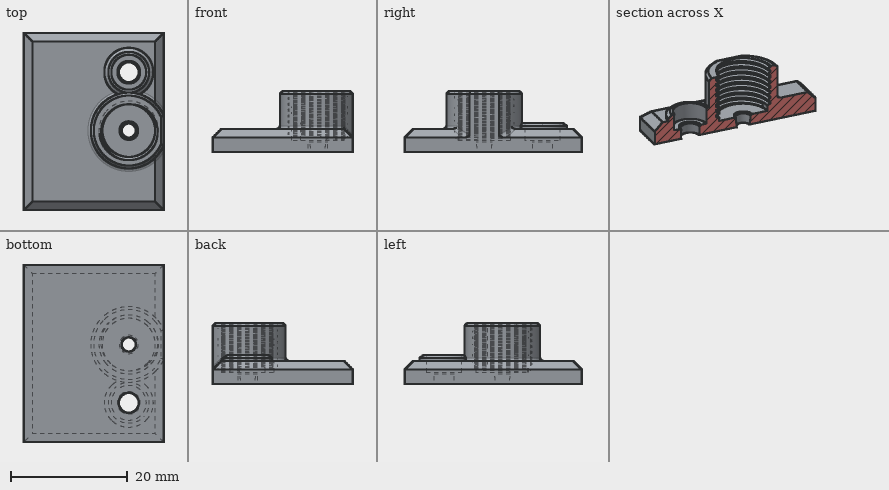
import cadquery as cq
import math

plate_x = 24.0
plate_y = 30.4
plate_z = 4.0
plate_chamfer = 1.5
chamfer_line_x = plate_x - plate_chamfer

boss_inset_x = 6.0
small_boss_inset_y = 6.75
boss_x = plate_x - boss_inset_x
small_boss_y = plate_y - small_boss_inset_y
boss_spacing = 10.0
main_boss_y = small_boss_y - boss_spacing

main_boss_d = 13.0
main_boss_top = 10.5
main_boss_chamfer = 0.5
main_boss_fillet = 0.5
main_hole_d = 2.4
main_hole_mouth_d = 2.7

thread_minor_d = 9.04
thread_major_d = 10.15
thread_pitch = 1.0
thread_flank_angle = 30.0
groove_mouth = thread_pitch * 7 / 8
groove_overlap = 0.1
thread_overrun = 1.0
thread_top_angle = -70.0

small_boss_d = 8.4
small_boss_height = 1.0
small_boss_chamfer_z = 0.55
small_boss_chamfer_r = 0.7
small_bore_d = 6.0
small_hole_d = 3.4

bore_floor = 2.0
hole_chamfer = 0.25
small_boss_top = plate_z + small_boss_height


def cylinder(diameter, y, bottom, top):
    """Upright cylinder on the boss line at the given Y."""
    base = cq.Workplane("XY", origin=(boss_x, y, bottom))
    return base.circle(diameter / 2).extrude(top - bottom)


def make_plate():
    """Rectangular plate with chamfered upper edges."""
    plate = cq.Workplane("XY").box(plate_x, plate_y, plate_z, centered=False)
    return plate.faces(">Z").edges().chamfer(plate_chamfer)


def make_foot(side, drop_per_x):
    """Concave ring at the foot of the main boss, kept on one side of the +X chamfer line.

    side is -1 over the flat plate top and 1 over its +X chamfer; drop_per_x is how far
    the plate surface falls per unit of X on that side.
    """
    inner_r = main_boss_d / 2
    outer_r = inner_r + main_boss_fillet
    arc_mid = main_boss_fillet * (1 - math.cos(math.pi / 4))
    ring = (
        cq.Workplane("XZ")
        .moveTo(inner_r - main_boss_fillet, -main_boss_fillet)
        .lineTo(outer_r, -main_boss_fillet)
        .lineTo(outer_r, 0)
        .threePointArc((inner_r + arc_mid, arc_mid), (inner_r, main_boss_fillet))
        .lineTo(inner_r - main_boss_fillet, main_boss_fillet)
        .close()
        .revolve(360, (0, 0, 0), (0, 1, 0))
    )
    ring = ring.translate((boss_x - chamfer_line_x, 0, 0))
    half_space = cq.Workplane("XY").box(plate_x, plate_y, plate_z)
    ring = ring.intersect(half_space.translate((side * plate_x / 2, 0, 0)))
    tilt = cq.Matrix([[1, 0, 0, 0], [0, 1, 0, 0], [-drop_per_x, 0, 1, 0]])
    tilted = ring.val().transformGeometry(tilt)
    return cq.Workplane(tilted).translate((chamfer_line_x, main_boss_y, plate_z))


def add_main_boss(body):
    """Round boss chamfered on top, flared at its foot and trimmed flush with the +X side."""
    boss = cylinder(main_boss_d, main_boss_y, 0, main_boss_top)
    boss = boss.faces(">Z").chamfer(main_boss_chamfer)
    boss = boss.union(make_foot(-1, 0)).union(make_foot(1, 1))

    envelope = cq.Workplane("XY").box(plate_x, plate_y, main_boss_top, centered=False)
    envelope = envelope.edges(">X and >Z").chamfer(main_boss_chamfer)
    return body.union(boss.intersect(envelope))


def add_small_boss(body):
    """Low round boss with a chamfered rim."""
    boss = cylinder(small_boss_d, small_boss_y, 0, small_boss_top)
    boss = boss.faces(">Z").chamfer(small_boss_chamfer_z, small_boss_chamfer_r)
    return body.union(boss)


def cut_stepped_hole(body, y, top, bore_d, hole_d, mouth_d):
    """Bore down to the floor, then a through hole with a chamfered mouth.

    The through hole widens from hole_d at the plate bottom to mouth_d at its chamfer.
    """
    mouth_z = bore_floor - hole_chamfer
    chamfer_d = mouth_d + 2 * hole_chamfer
    cutter = (
        cq.Workplane("XZ")
        .polyline([
            (0, 0),
            (hole_d / 2, 0),
            (mouth_d / 2, mouth_z),
            (chamfer_d / 2, bore_floor),
            (bore_d / 2, bore_floor),
            (bore_d / 2, top),
            (0, top),
        ])
        .close()
        .revolve(360, (0, 0, 0), (0, 1, 0))
    )
    return body.cut(cutter.translate((boss_x, y, 0)))


def make_thread_groove():
    """Right-hand helical groove that runs past the top of the main boss."""
    inner_r = thread_minor_d / 2 - groove_overlap
    major_r = thread_major_d / 2
    flank_slope = math.tan(math.radians(thread_flank_angle))
    inner_half = groove_mouth / 2 + groove_overlap * flank_slope
    root_half = inner_half - (major_r - inner_r) * flank_slope
    start_z = bore_floor + inner_half
    turns_to_top = (main_boss_top - start_z) / thread_pitch
    start_angle = thread_top_angle - 360 * turns_to_top

    helix = cq.Wire.makeHelix(thread_pitch, (turns_to_top + thread_overrun) * thread_pitch, inner_r)
    profile = cq.Workplane("XZ").polyline([
        (inner_r, -inner_half),
        (major_r, -root_half),
        (major_r, root_half),
        (inner_r, inner_half),
    ]).close()
    groove = profile.sweep(cq.Workplane(helix), isFrenet=True)
    groove = groove.rotate((0, 0, 0), (0, 0, 1), start_angle)
    return groove.translate((boss_x, main_boss_y, start_z))


def cut_thread(body):
    """Thread the port with a tap shape: the bore plus its groove, trimmed level with the boss top."""
    tap_top = main_boss_top + (thread_overrun + 2) * thread_pitch
    tap = cylinder(thread_minor_d, main_boss_y, bore_floor, tap_top)
    tap = tap.union(make_thread_groove())
    tap = tap.intersect(cylinder(main_boss_d, main_boss_y, 0, main_boss_top))
    return body.cut(tap)


result = make_plate()
result = add_main_boss(result)
result = add_small_boss(result)
result = cut_stepped_hole(
    result, small_boss_y, small_boss_top, small_bore_d, small_hole_d, small_hole_d
)
result = cut_stepped_hole(
    result, main_boss_y, main_boss_top, thread_minor_d, main_hole_d, main_hole_mouth_d
)
result = cut_thread(result).solids()